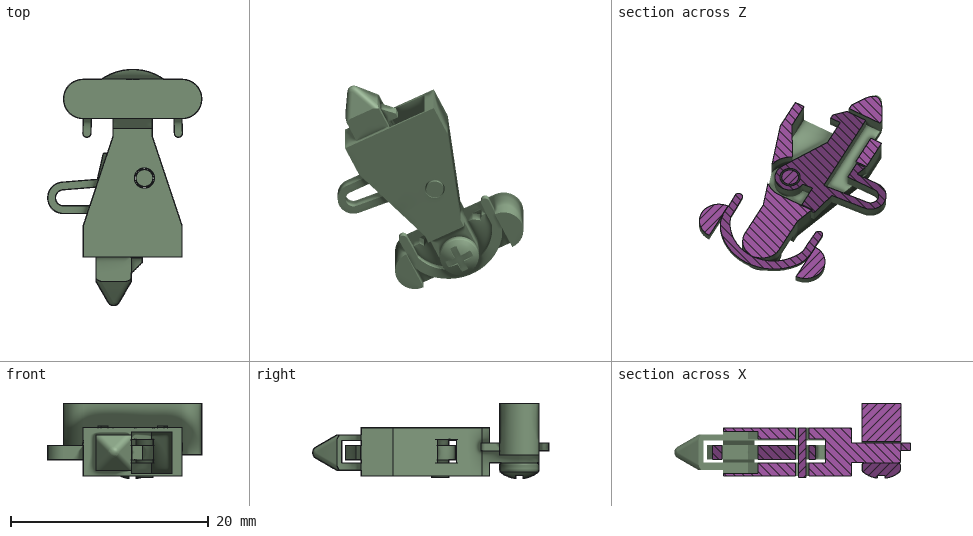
import cadquery as cq
import math


block_length = 14.0
block_depth = 4.0
block_top = 5.2
recess_half_width = 5.0
recess_height = 1.3
notch_inner_x = 2.5
notch_apex_x = 3.18
notch_outer_x = 3.5
notch_depth = 0.45
notch_top = 2.9

spring_thickness = 0.8
spring_bottom = 0.4
spring_strip = 0.84
spring_half_width = 5.0
spring_rear_y = 3.0
spring_rear_strip = 1.0
spring_rear_radius = 5.5
spring_shoulder_y = -1.0
spring_tip_y = -3.88
spring_leg_splay = 0.05

head_radius = 2.0
head_top = -0.8
head_side_bottom = -1.51
head_top_fillet = 0.28
dome_edge_radius = 1.94
dome_edge_z = -1.73
dome_bottom = -2.45
drive_slot_width = 0.7
drive_slot_top = -2.09

housing_bottom = -2.15
housing_top = 2.75
housing_rear_y = -3.0
taper_rear_y = -3.8
taper_front_y = -12.8
housing_front_y = -16.0
neck_half_width = 2.0
neck_top = 1.2
housing_half_width = 5.0
taper_slope = (housing_half_width - neck_half_width) / (taper_rear_y - taper_front_y)

coupling_z = 0.225
coupling_offset = 1.92
prow_width = 3.6
prow_shoulder_y = -18.45
prow_half_angle = 30.0
prow_edge_radius = 0.65
pocket_height = 4.2
prow_left_x = -coupling_offset - prow_width / 2
prow_right_x = -coupling_offset + prow_width / 2
pocket_half_width = coupling_offset - prow_right_x
pocket_shoulder_y = -13.45
pocket_apex_y = pocket_shoulder_y + pocket_half_width / math.tan(math.radians(prow_half_angle))

pin_x = 1.19
pin_y = -8.0
pin_diameter = 1.75
pin_hole_diameter = 2.0
pin_bottom = -2.3

slot_bottom = -0.8
slot_top = 1.43
hub_chamber_top = 1.57
hub_chamber_edge_radius = 0.15
slot_rear_y = -5.67
slot_front_y = -17.95
slot_clearance_radius = slot_rear_y - pin_y

lever_thickness = 1.45
lever_bottom = coupling_z - lever_thickness / 2
hub_radius = 1.55
arm_width = 2.17
hook_back_y = -16.07
hook_tip_x = 0.98
hook_flat = 0.46
nose_y = -17.6
loop_x = -7.0
loop_y = -10.0
loop_radius = 1.6
loop_strip = 0.8
loop_slope = 4.6
foot_y = -12.7
foot_right_x = -3.9
tail_root_x = -3.64
tail_tip_x = -2.98
tail_right_x = -1.4
tail_clearance = 0.03
tail_y = -5.49
tail_corner_radius = 0.12


def prism(points, bottom, top):
    """Upright prism over a closed outline."""
    return cq.Workplane("XY", origin=(0, 0, bottom)).polyline(points).close().extrude(top - bottom)


def cylinder(x, y, radius, bottom, top):
    return cq.Workplane("XY", origin=(x, y, bottom)).circle(radius).extrude(top - bottom)


def outer_wall_x(y):
    """X of the left tapered wall of the housing."""
    return -neck_half_width - taper_slope * (taper_rear_y - y)


def make_block():
    block = cq.Workplane("XY").slot2D(block_length, block_depth).extrude(block_top)
    recess = cq.Workplane("XY").box(
        2 * recess_half_width, block_depth, recess_height, centered=(True, True, False)
    )
    block = block.cut(recess)
    front_y = -block_depth / 2
    for side in (-1, 1):
        notch = [
            (side * notch_inner_x, front_y),
            (side * notch_apex_x, front_y + notch_depth),
            (side * notch_outer_x, front_y),
        ]
        block = block.cut(prism(notch, 0, notch_top))
    return block


def make_spring():
    """Bow-shaped leaf: a flat rear arc, tighter shoulders and two straight legs with round tips.

    Each shoulder arc is tangent to the rear arc and to its leg.
    """
    inner_x = spring_half_width - spring_strip
    tip_radius = spring_strip / 2
    tip_x = inner_x + tip_radius + spring_leg_splay
    tip_center_y = spring_tip_y + tip_radius
    leg_y = -block_depth / 2
    rise = spring_rear_y - spring_shoulder_y
    shoulder_radius = (spring_half_width**2 + rise**2 - 2 * spring_rear_radius * rise) / (
        2 * (spring_half_width - spring_rear_radius)
    )
    angle = math.asin((spring_half_width - shoulder_radius) / (spring_rear_radius - shoulder_radius))
    shoulder_x = spring_rear_radius * math.sin(angle)
    shoulder_y = spring_rear_y - spring_rear_radius * (1 - math.cos(angle))
    return (
        cq.Workplane("XY", origin=(0, 0, spring_bottom))
        .moveTo(-shoulder_x, shoulder_y)
        .threePointArc((0, spring_rear_y), (shoulder_x, shoulder_y))
        .tangentArcPoint((spring_half_width, spring_shoulder_y), relative=False)
        .lineTo(spring_half_width, leg_y)
        .lineTo(tip_x + tip_radius, tip_center_y)
        .threePointArc((tip_x, spring_tip_y), (tip_x - tip_radius, tip_center_y))
        .lineTo(inner_x, leg_y)
        .lineTo(inner_x, spring_shoulder_y)
        .threePointArc((0, spring_rear_y - spring_rear_strip), (-inner_x, spring_shoulder_y))
        .lineTo(-inner_x, leg_y)
        .lineTo(-tip_x + tip_radius, tip_center_y)
        .threePointArc((-tip_x, spring_tip_y), (-tip_x - tip_radius, tip_center_y))
        .lineTo(-spring_half_width, leg_y)
        .lineTo(-spring_half_width, spring_shoulder_y)
        .tangentArcPoint((-shoulder_x, shoulder_y), relative=False)
        .close()
        .extrude(spring_thickness)
    )


def make_screw():
    sagitta = dome_edge_z - dome_bottom
    dome_radius = (dome_edge_radius**2 + sagitta**2) / (2 * sagitta)
    mid_r = dome_edge_radius / 2
    mid_z = dome_bottom + dome_radius - math.sqrt(dome_radius**2 - mid_r**2)
    bend = head_top_fillet * (1 - math.sqrt(0.5))
    profile = (
        cq.Workplane("XZ")
        .moveTo(0, head_top)
        .lineTo(head_radius - head_top_fillet, head_top)
        .threePointArc((head_radius - bend, head_top - bend), (head_radius, head_top - head_top_fillet))
        .lineTo(head_radius, head_side_bottom)
        .lineTo(dome_edge_radius, dome_edge_z)
        .threePointArc((mid_r, mid_z), (0, dome_bottom))
        .close()
    )
    screw = profile.revolve(360, (0, 0, 0), (0, 1, 0))
    slot_depth = drive_slot_top - dome_bottom
    for length_x, length_y in ((2 * head_radius, drive_slot_width), (drive_slot_width, 2 * head_radius)):
        slot = cq.Workplane("XY", origin=(0, 0, dome_bottom)).box(
            length_x, length_y, slot_depth, centered=(True, True, False)
        )
        screw = screw.cut(slot)
    return screw


def make_prow():
    section = cq.Workplane("XZ", origin=(-coupling_offset, housing_front_y, coupling_z))
    shank = section.rect(prow_width, prow_width).extrude(housing_front_y - prow_shoulder_y)
    tip_length = prow_width / 2 / math.tan(math.radians(prow_half_angle))
    apex = cq.Vector(-coupling_offset, prow_shoulder_y - tip_length, coupling_z)
    half = prow_width / 2
    corners = [
        cq.Vector(-coupling_offset + sx * half, prow_shoulder_y, coupling_z + sz * half)
        for sx, sz in ((-1, -1), (1, -1), (1, 1), (-1, 1))
    ]
    faces = [cq.Face.makeFromWires(cq.Wire.makePolygon(corners, close=True))]
    for i in range(4):
        side = [corners[i], corners[(i + 1) % 4], apex]
        faces.append(cq.Face.makeFromWires(cq.Wire.makePolygon(side, close=True)))
    pyramid = cq.Solid.makeSolid(cq.Shell.makeShell(faces))
    prow = shank.union(cq.Workplane(pyramid))
    beyond_shoulder = cq.selectors.BoxSelector(
        (prow_left_x, prow_shoulder_y - tip_length / 4, coupling_z - half),
        (prow_right_x, apex.y, coupling_z + half),
    )
    return prow.edges(beyond_shoulder).fillet(prow_edge_radius)


def make_pocket():
    right_x = coupling_offset + pocket_half_width
    outline = [
        (prow_right_x, housing_front_y),
        (prow_right_x, pocket_shoulder_y),
        (coupling_offset, pocket_apex_y),
        (right_x, pocket_shoulder_y),
        (right_x, housing_front_y),
    ]
    return prism(outline, coupling_z - pocket_height / 2, coupling_z + pocket_height / 2)


def make_lever_slot():
    outline = [
        (-housing_half_width, slot_rear_y),
        (pin_x, slot_rear_y),
        (coupling_offset, pocket_apex_y),
        (prow_right_x, pocket_shoulder_y),
        (prow_right_x, slot_front_y),
        (prow_left_x, slot_front_y),
        (prow_left_x, taper_front_y),
        (-housing_half_width, taper_front_y),
    ]
    return prism(outline, slot_bottom, slot_top)


def make_hub_chamber():
    """Taller space about the pivot, opened forward through the left wall of the pocket."""
    left_x = pin_x - slot_clearance_radius
    outline = [
        (left_x, slot_rear_y),
        (pin_x, slot_rear_y),
        (coupling_offset, pocket_apex_y),
        (prow_right_x, pocket_shoulder_y),
        (left_x, pocket_shoulder_y),
    ]
    chamber = prism(outline, slot_bottom, hub_chamber_top)
    return chamber.union(cylinder(pin_x, pin_y, slot_clearance_radius, slot_bottom, hub_chamber_top))


def make_housing():
    right_side = [
        (neck_half_width, housing_rear_y),
        (neck_half_width, taper_rear_y),
        (housing_half_width, taper_front_y),
        (housing_half_width, housing_front_y),
    ]
    left_side = [(-x, y) for x, y in reversed(right_side)]
    housing = prism(right_side + left_side, housing_bottom, housing_top)
    neck = cylinder(0, 0, neck_half_width, head_top, neck_top)
    neck = neck.union(
        cq.Workplane("XY", origin=(0, 0, head_top)).box(
            2 * neck_half_width, -housing_rear_y, neck_top - head_top, centered=(True, False, False)
        ).translate((0, housing_rear_y, 0))
    )
    housing = housing.union(neck).union(make_prow())
    housing = housing.cut(make_pocket()).cut(make_lever_slot()).cut(make_hub_chamber())
    chamber_mouth = cq.selectors.BoxSelector(
        (coupling_offset, pocket_shoulder_y, slot_bottom),
        (coupling_offset + pocket_half_width / 2, pocket_apex_y, hub_chamber_top),
    )
    housing = housing.edges("|Z").edges(chamber_mouth).fillet(hub_chamber_edge_radius)
    return housing.cut(cylinder(pin_x, pin_y, pin_hole_diameter / 2, housing_bottom, housing_top))


def make_pin():
    return cylinder(pin_x, pin_y, pin_diameter / 2, pin_bottom, housing_top)


def make_lever_arm():
    """Hub side of the lever: the arm along the pocket wall and the hook at its nose."""
    angle = math.radians(prow_half_angle)
    hook_root_y = hook_back_y - hook_flat
    outline = [
        (pin_x, pin_y),
        (pin_x + hub_radius * math.cos(angle), pin_y - hub_radius * math.sin(angle)),
        (prow_right_x, pocket_shoulder_y),
        (prow_right_x, hook_back_y),
        (hook_tip_x, hook_back_y),
        (hook_tip_x, hook_root_y),
        (hook_tip_x - (hook_root_y - nose_y), nose_y),
        (prow_right_x - arm_width, nose_y),
        (prow_right_x - arm_width, pin_y),
    ]
    arm = prism(outline, lever_bottom, lever_bottom + lever_thickness)
    return arm.union(cylinder(pin_x, pin_y, hub_radius, lever_bottom, lever_bottom + lever_thickness))


def make_lever_loop():
    """Spring loop from the hub round to a foot just behind the front end of the slot."""
    angle = math.radians(loop_slope)
    inner_radius = loop_radius - loop_strip
    upward = math.pi / 2 + angle
    downward = 3 * math.pi / 2
    middle = (upward + downward) / 2
    under_y = loop_y - loop_radius

    def on_loop(radius, direction):
        return (loop_x + radius * math.cos(direction), loop_y + radius * math.sin(direction))

    def upper_arm(radius, x):
        return (x, loop_y + radius / math.cos(angle) + (x - loop_x) * math.tan(angle))

    return (
        cq.Workplane("XY", origin=(0, 0, lever_bottom))
        .moveTo(*upper_arm(loop_radius, pin_x - hub_radius / 2))
        .lineTo(*on_loop(loop_radius, upward))
        .threePointArc(on_loop(loop_radius, middle), (loop_x, under_y))
        .lineTo(outer_wall_x(under_y), under_y)
        .lineTo(outer_wall_x(foot_y), foot_y)
        .lineTo(foot_right_x, foot_y)
        .lineTo(foot_right_x, loop_y - inner_radius)
        .lineTo(loop_x, loop_y - inner_radius)
        .threePointArc(on_loop(inner_radius, middle), on_loop(inner_radius, upward))
        .lineTo(*upper_arm(inner_radius, pin_x - hub_radius / 2))
        .close()
        .extrude(lever_thickness)
    )


def make_lever_tail():
    """Tail along the outer wall, stepped so that its rear end stays clear of the housing."""
    root_y = loop_y + loop_radius
    step_y = slot_rear_y - tail_clearance
    step_x = outer_wall_x(step_y)
    outline = [
        (tail_root_x, root_y),
        (tail_tip_x, tail_y),
        (step_x, tail_y),
        (step_x, step_y),
        (tail_right_x, step_y),
        (tail_right_x, root_y),
    ]
    tail = prism(outline, lever_bottom, lever_bottom + lever_thickness)
    rear_corner = cq.selectors.NearestToPointSelector((tail_tip_x, tail_y, coupling_z))
    return tail.edges(rear_corner).fillet(tail_corner_radius)


def make_lever():
    lever = make_lever_arm().union(make_lever_loop()).union(make_lever_tail())
    return lever.cut(
        cylinder(pin_x, pin_y, pin_hole_diameter / 2, lever_bottom, lever_bottom + lever_thickness)
    )


block = make_block()
spring = make_spring()
screw = make_screw()
housing = make_housing()
pin = make_pin()
lever = make_lever()

bodies = [block, spring, screw, housing, pin, lever]
result = cq.Compound.makeCompound([body.solids().val() for body in bodies])